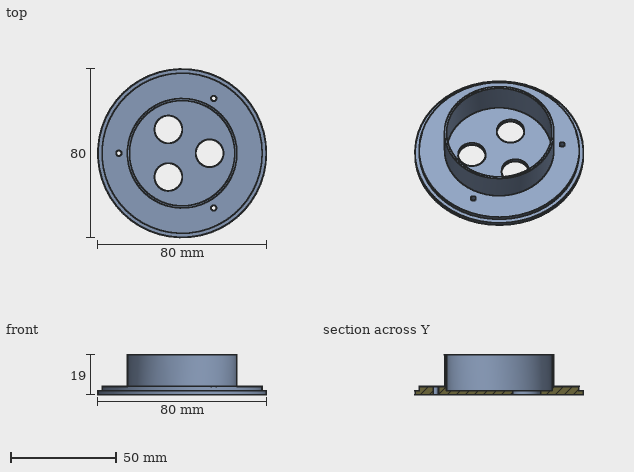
import cadquery as cq

flange_diameter = 80.0
flange_thickness = 2.0
step_diameter = 76.0
step_thickness = 2.0
plate_thickness = flange_thickness + step_thickness

collar_outer_diameter = 52.0
collar_inner_diameter = 50.0
total_height = 19.0
collar_height = total_height - plate_thickness

opening_diameter = 13.0
opening_circle_radius = 13.0
opening_start_angle = 0

screw_hole_diameter = 2.5
screw_circle_radius = 30.0
screw_start_angle = 180

holes_per_circle = 3


def make_plate():
    """Two stacked discs with the underside at Z = 0."""
    flange = cq.Workplane("XY").circle(flange_diameter / 2).extrude(flange_thickness)
    return flange.faces(">Z").workplane().circle(step_diameter / 2).extrude(step_thickness)


def make_collar():
    """Solid post on top of the plate, hollowed later by the bore."""
    post = cq.Workplane("XY").workplane(offset=plate_thickness)
    return post.circle(collar_outer_diameter / 2).extrude(collar_height)


def make_bore():
    """Cutter that hollows the collar and the step, leaving the flange disc as the floor."""
    bore = cq.Workplane("XY").workplane(offset=flange_thickness)
    return bore.circle(collar_inner_diameter / 2).extrude(total_height - flange_thickness)


def make_hole_cutters(diameter, circle_radius, start_angle):
    """Evenly spaced pins that cut right through the plate."""
    return (
        cq.Workplane("XY")
        .polarArray(circle_radius, start_angle, 360, holes_per_circle)
        .circle(diameter / 2)
        .extrude(plate_thickness)
    )


result = (
    make_plate()
    .union(make_collar())
    .cut(make_bore())
    .cut(make_hole_cutters(opening_diameter, opening_circle_radius, opening_start_angle))
    .cut(make_hole_cutters(screw_hole_diameter, screw_circle_radius, screw_start_angle))
)